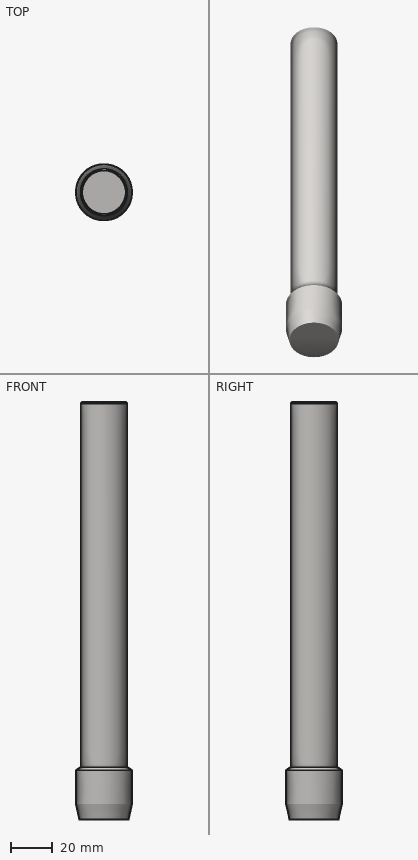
import cadquery as cq

shaft_length = 200.0
shaft_radius = 11.2
shaft_chamfer = 0.8

collar_height = 25.2
collar_radius = 27.0 / 2
collar_slope_height = 1.5
nose_height = 7.5
nose_end_radius = 11.8


def make_shaft():
    """Plain round shaft with a chamfered top rim."""
    return (
        cq.Workplane("XY")
        .circle(shaft_radius)
        .extrude(shaft_length)
        .faces(">Z")
        .chamfer(shaft_chamfer)
    )


def make_collar():
    """Sleeve around the foot of the shaft: tapered nose below, conical top face."""
    return (
        cq.Workplane("XZ")
        .moveTo(shaft_radius, 0)
        .lineTo(nose_end_radius, 0)
        .lineTo(collar_radius, nose_height)
        .lineTo(collar_radius, collar_height - collar_slope_height)
        .lineTo(shaft_radius, collar_height)
        .close()
        .revolve(360, (0, 0, 0), (0, 1, 0))
    )


shaft = make_shaft()
collar = make_collar()

result = cq.Compound.makeCompound([shaft.val(), collar.val()])